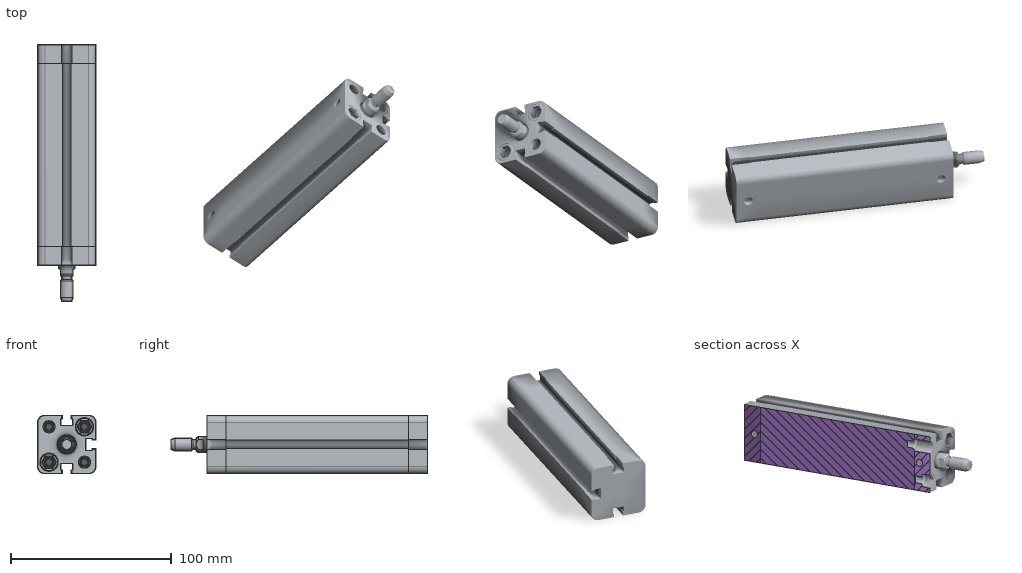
import cadquery as cq
import math


side = 36.2
corner_radius = 4.5
total_length = 159.6
rod_stickout = 22.3
housing_length = total_length - rod_stickout
cap_length = 11.8
barrel_length = housing_length - 2 * cap_length

slot_depth = 6.2
slot_width = 7.3
slot_lip = 2.4
slot_corner_radius = 0.5
cap_mouth_width = 6.2
barrel_mouth_width = 5.3
slot_angles = (0, 90, 180)

thread_core_diameter = 4.1
thread_rim_diameter = 5.7
thread_countersink_depth = (thread_rim_diameter - thread_core_diameter) / 2
port_inset = 7.7
inner_wall_diameter = 20.0

corner_offset = 11.0
corner_hole_diameter = 7.5
corner_thread_depth = 4.8
screw_seat_diameter = 11.3
screw_head_diameter = 10.5
screw_groove_depth = (screw_seat_diameter - screw_head_diameter) / 2
hex_socket_width = 8.0
hex_socket_depth = 3.5
screw_bore_depth = 5.6
plain_corners = ((-corner_offset, corner_offset), (corner_offset, -corner_offset))
screw_corners = ((corner_offset, corner_offset), (-corner_offset, -corner_offset))

rod_diameter = 10.0
rod_chamfer_start = 5.3
rod_shoulder = 6.5
rod_shoulder_diameter = 8.1
neck_end = 8.6
neck_diameter = 6.2
thread_start = 9.5
rod_thread_diameter = 8.0
tip_chamfer_start = 19.8
tip_diameter = 6.2
flat_spacing = 8.0
flat_start = 2.9
flat_runout_radius = (rod_diameter - flat_spacing) / 2

wiper_rim_diameter = 12.0
wiper_diameter = 11.2
wiper_depth = 2.4


def turned(profile, x=0.0, z=0.0):
    """Solid of revolution about a Y-parallel axis through (x, z), from (radius, y) points."""
    outline = cq.Workplane("XY").polyline(profile).close()
    return outline.revolve(360, (0, 0, 0), (0, 1, 0)).translate((x, 0, z))


def bore(diameter, y_start, y_end, x=0.0, z=0.0):
    """Plain round hole along Y."""
    radius = diameter / 2
    return turned([(0, y_start), (radius, y_start), (radius, y_end), (0, y_end)], x, z)


def countersink(rim_diameter, end_diameter, y_start, x=0.0, z=0.0):
    """45 degree cone that narrows from its rim at y_start toward +Y."""
    y_end = y_start + (rim_diameter - end_diameter) / 2
    profile = [(0, y_start), (rim_diameter / 2, y_start), (end_diameter / 2, y_end), (0, y_end)]
    return turned(profile, x, z)


def section_bar(y_start, length, mouth_width):
    """Length of the rounded square section with its three T-shaped sensor slots."""
    bar = cq.Workplane("XY").box(side, length, side).edges("|Y").fillet(corner_radius)
    mouth = cq.Workplane("XY").box(mouth_width, length, slot_depth)
    mouth = mouth.translate((0, 0, (side - slot_depth) / 2))
    channel_height = slot_depth - slot_lip
    channel = cq.Workplane("XY").box(slot_width, length, channel_height)
    channel = channel.edges("|Y and <Z").fillet(slot_corner_radius)
    channel = channel.translate((0, 0, side / 2 - slot_lip - channel_height / 2))
    slot = mouth.union(channel)
    for angle in slot_angles:
        bar = bar.cut(slot.rotate((0, 0, 0), (0, 1, 0), angle))
    return bar.translate((0, y_start + length / 2, 0))


def port(y):
    """Countersunk thread from the -X side down to the inner cylinder wall."""
    profile = [
        (0, 0),
        (thread_rim_diameter / 2, 0),
        (thread_core_diameter / 2, thread_countersink_depth),
        (thread_core_diameter / 2, side / 2),
        (0, side / 2),
    ]
    hole = turned(profile).rotate((0, 0, 0), (0, 0, 1), -90).translate((-side / 2, y, 0))
    return hole.cut(bore(inner_wall_diameter, 0, housing_length))


def screw_groove(x, z):
    """Ring groove between the screw seat and the chamfered screw head."""
    seat = bore(screw_seat_diameter, 0, screw_groove_depth, x, z)
    head = turned(
        [
            (0, 0),
            (screw_head_diameter / 2, 0),
            (screw_seat_diameter / 2, screw_groove_depth),
            (0, screw_groove_depth),
        ],
        x,
        z,
    )
    return seat.cut(head)


def hex_socket(x, z):
    """Hexagon socket in the front face, with two flats facing up and down."""
    width_across_corners = hex_socket_width / math.cos(math.pi / 6)
    socket = cq.Workplane("XZ").polygon(6, width_across_corners).extrude(-hex_socket_depth)
    return socket.translate((x, 0, z))


def corner_thread(y_start, x, z):
    """Countersunk blind thread that starts at y_start."""
    hole = bore(thread_core_diameter, y_start, y_start + corner_thread_depth, x, z)
    return hole.union(countersink(thread_rim_diameter, thread_core_diameter, y_start, x, z))


def make_front_cap():
    cap = section_bar(0, cap_length, cap_mouth_width).cut(port(port_inset))
    for x, z in plain_corners:
        cap = cap.cut(bore(corner_hole_diameter, 0, cap_length, x, z))
    for x, z in screw_corners:
        cap = cap.cut(screw_groove(x, z)).cut(hex_socket(x, z))
        cap = cap.cut(bore(corner_hole_diameter, 0, screw_bore_depth, x, z))
        cap = cap.cut(corner_thread(screw_bore_depth, x, z))
    cap = cap.cut(countersink(wiper_rim_diameter, wiper_diameter, 0))
    cap = cap.cut(bore(wiper_diameter, 0, wiper_depth))
    return cap.cut(bore(rod_diameter, 0, cap_length))


def make_barrel():
    barrel = section_bar(cap_length, barrel_length, barrel_mouth_width)
    for x, z in plain_corners:
        barrel = barrel.cut(corner_thread(cap_length, x, z))
    return barrel


def make_rear_cap():
    cap = section_bar(housing_length - cap_length, cap_length, cap_mouth_width)
    return cap.cut(port(housing_length - port_inset))


def make_rod():
    rod = turned(
        [
            (0, cap_length),
            (rod_diameter / 2, cap_length),
            (rod_diameter / 2, -rod_chamfer_start),
            (rod_shoulder_diameter / 2, -rod_shoulder),
            (neck_diameter / 2, -rod_shoulder),
            (neck_diameter / 2, -neck_end),
            (rod_thread_diameter / 2, -thread_start),
            (rod_thread_diameter / 2, -tip_chamfer_start),
            (tip_diameter / 2, -rod_stickout),
            (0, -rod_stickout),
        ]
    )
    flat_cut = (
        cq.Workplane("XY")
        .moveTo(flat_spacing / 2, -rod_shoulder)
        .lineTo(flat_spacing / 2, -flat_start)
        .radiusArc((rod_diameter / 2, -flat_start + flat_runout_radius), flat_runout_radius)
        .lineTo(rod_diameter / 2, -rod_shoulder)
        .close()
        .extrude(rod_diameter / 2, both=True)
    )
    return rod.cut(flat_cut).cut(flat_cut.mirror("YZ"))


front_cap = make_front_cap()
barrel = make_barrel()
rear_cap = make_rear_cap()
rod = make_rod()

result = cq.Compound.makeCompound([front_cap.val(), barrel.val(), rear_cap.val(), rod.val()])